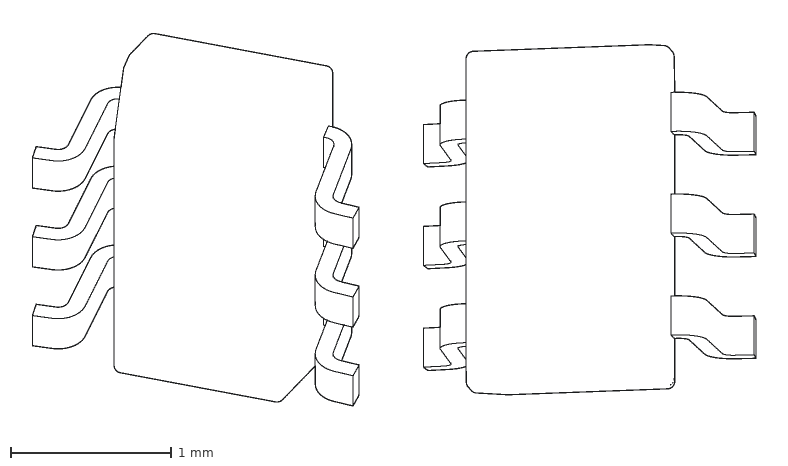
import cadquery as cq
import math

OVERALL_X = 2.1
OVERALL_Y = 1.1
BODY_HEIGHT = 2.15

BODY_WIDTH = 1.3
BACK_DEPTH = 0.295
BELT_DEPTH = 0.112
FRONT_DEPTH = 0.593
DRAFT_ANGLE = 10.0
EDGE_RADIUS = 0.05
BELT_BACK_Y = OVERALL_Y - BACK_DEPTH
BELT_FRONT_Y = BELT_BACK_Y - BELT_DEPTH

LEADS_PER_SIDE = 3
LEAD_PITCH = 0.65
LEAD_WIDTH = 0.25
LEAD_THICKNESS = BELT_DEPTH
INNER_BEND_RADIUS = 0.067
LEG_TILT = 2.0
FOOT_TILT = 4.0
FOOT_LENGTH = 0.127


def tapered_part(start_y, depth, direction):
    """Frustum that narrows from the belt outline; direction is +1 for +Y, -1 for -Y."""
    plane = cq.Plane(origin=(0, start_y, 0), xDir=(1, 0, 0), normal=(0, direction, 0))
    return cq.Workplane(plane).rect(BODY_WIDTH, BODY_HEIGHT).extrude(depth, taper=DRAFT_ANGLE)


def make_body():
    """Belt with a tapered part on each side, rounded at its corners and outer faces."""
    belt = cq.Workplane("XY").box(BODY_WIDTH, BELT_DEPTH, BODY_HEIGHT)
    belt = belt.translate((0, BELT_FRONT_Y + BELT_DEPTH / 2, 0))
    back = tapered_part(BELT_BACK_Y, BACK_DEPTH, 1)
    front = tapered_part(BELT_FRONT_Y, FRONT_DEPTH, -1)
    body = belt.union(back).union(front)

    outer_faces = body.faces("<Y or >Y").edges()
    corners = body.edges("not (|X or |Z)")
    return outer_faces.add(corners).fillet(EDGE_RADIUS)


def make_right_lead():
    """Gull-wing lead on the +X side, centred on Z = 0 and butting against the belt."""
    leg_angle = math.radians(LEG_TILT)
    foot_angle = math.radians(FOOT_TILT)
    leg_along = cq.Vector(math.sin(leg_angle), -math.cos(leg_angle))
    leg_outward = cq.Vector(math.cos(leg_angle), math.sin(leg_angle))
    foot_along = cq.Vector(math.cos(foot_angle), -math.sin(foot_angle))
    foot_up = cq.Vector(math.sin(foot_angle), math.cos(foot_angle))
    outer_bend_radius = INNER_BEND_RADIUS + LEAD_THICKNESS

    tip_top = cq.Vector(OVERALL_X / 2, LEAD_THICKNESS * math.cos(foot_angle))
    tip_bottom = tip_top - foot_up * LEAD_THICKNESS
    foot_top = tip_top - foot_along * FOOT_LENGTH
    foot_bottom = tip_bottom - foot_along * FOOT_LENGTH
    lower_center = foot_top + foot_up * INNER_BEND_RADIUS
    leg_end_outer = lower_center - leg_outward * INNER_BEND_RADIUS
    leg_end_inner = lower_center - leg_outward * outer_bend_radius

    shoulder_top_y = BELT_BACK_Y
    shoulder_center_y = shoulder_top_y - outer_bend_radius
    leg_start_y = shoulder_center_y + INNER_BEND_RADIUS * leg_outward.y
    leg_length = (leg_end_inner.y - leg_start_y) / leg_along.y
    leg_start_inner = leg_end_inner - leg_along * leg_length
    leg_start_outer = leg_end_outer - leg_along * leg_length
    shoulder_center_x = leg_start_inner.x - INNER_BEND_RADIUS * leg_outward.x
    shoulder_bottom_y = shoulder_top_y - LEAD_THICKNESS
    root_x = BODY_WIDTH / 2

    return (
        cq.Workplane("XY", origin=(0, 0, -LEAD_WIDTH / 2))
        .moveTo(root_x, shoulder_top_y)
        .lineTo(shoulder_center_x, shoulder_top_y)
        .tangentArcPoint(leg_start_outer, relative=False)
        .lineTo(leg_end_outer.x, leg_end_outer.y)
        .tangentArcPoint(foot_top, relative=False)
        .lineTo(tip_top.x, tip_top.y)
        .lineTo(tip_bottom.x, tip_bottom.y)
        .lineTo(foot_bottom.x, foot_bottom.y)
        .tangentArcPoint(leg_end_inner, relative=False)
        .lineTo(leg_start_inner.x, leg_start_inner.y)
        .tangentArcPoint((shoulder_center_x, shoulder_bottom_y), relative=False)
        .lineTo(root_x, shoulder_bottom_y)
        .close()
        .extrude(LEAD_WIDTH)
    )


def make_leads():
    """One lead of each row at every pitch step, as separate solids."""
    right_lead = make_right_lead()
    left_lead = right_lead.mirror("YZ")
    leads = []
    for index in range(LEADS_PER_SIDE):
        z = (index - (LEADS_PER_SIDE - 1) / 2) * LEAD_PITCH
        for lead in (right_lead, left_lead):
            leads.append(lead.translate((0, 0, z)).val())
    return leads


body = make_body()
leads = make_leads()
result = cq.Compound.makeCompound([body.val(), *leads])